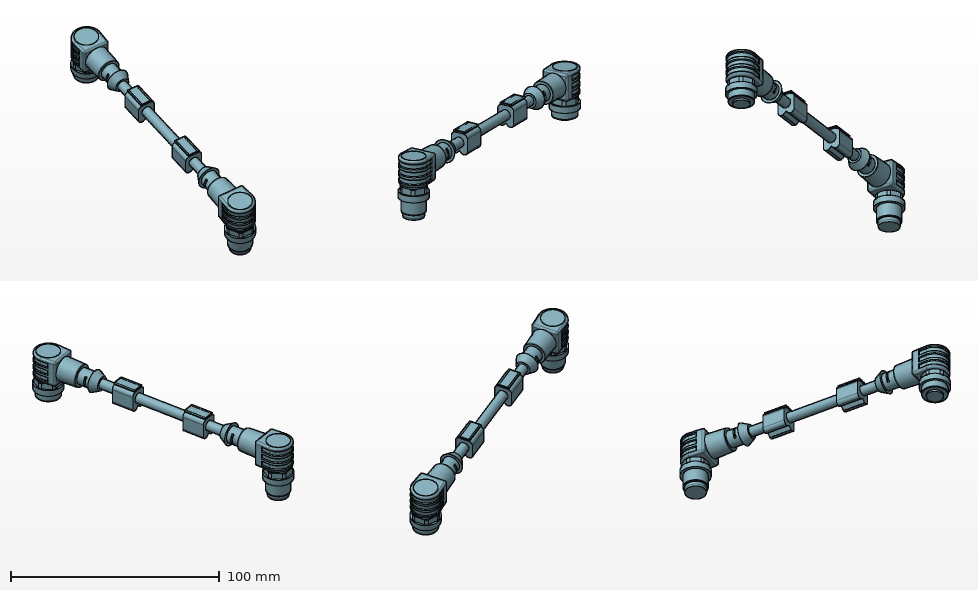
import cadquery as cq
import math


overall_length = 149.2
flange_diameter = 15.0
plug_axis_x = (overall_length - flange_diameter) / 2
cable_diameter = 5.2

body_radius = flange_diameter / 2
nose_centre_x = 0.3
body_back_x = 9.0
body_back_half_width = 7.0
body_top_z = 7.0
body_bottom_z = -7.2
body_edge_radius = 1.0
body_bottom_radius = 1.3
cap_recess_diameter = 11.8
cap_recess_depth = 0.1

groove_count = 3
groove_pitch = 4.0
groove_height = 2.8
groove_depth = 0.5
groove_end_x = 5.0

sleeve_root_diameter = 12.8
sleeve_end_diameter = 12.0
sleeve_end_x = 19.7
sleeve_end_lip_length = 0.5
sleeve_end_lip_drop = 0.1
sleeve_root_inset = 1.5
neck_diameter = 8.8
cone_start_x = 27.2
cone_end_x = 31.3
cone_start_diameter = 11.8
cone_end_diameter = 7.5
neck_slot_x = 24.2
neck_slot_width = 1.0
neck_slot_floor_y = 3.1

collar_diameter = 8.7
nut_top_z = -7.8
nut_across_flats = 12.8
nut_corner_diameter = 13.9
nut_top_chamfer = 0.3
flange_top_z = -11.0
flange_bottom_z = -14.3

plug_lip_length = 0.5
plug_lip_drop = 0.1
socket_diameter = 12.8
socket_bottom_z = -18.4
socket_tip_diameter = 8.4
socket_tip_z = -19.4
pin_plug_diameter = 12.2
pin_plug_bottom_z = -21.6
pin_collar_diameter = 10.9
pin_collar_bottom_z = -23.3
pin_tip_diameter = 10.5
pin_tip_z = -24.3

clip_centre_x = 20.6
clip_length = 12.0
clip_width = 9.1
clip_height = 12.0
clip_bottom_radius = 1.8
lid_flat_half_width = 2.7
lid_bead_radius = 0.52
lid_groove_height = 0.3
shoulder_bottom_z = 2.7
clip_mouth_half_width = 1.8
clip_mouth_depth = 1.5
label_slot_width = 4.5
label_slot_height = 0.7
label_slot_bottom_z = 4.8


def cylinder_z(diameter, top_z, bottom_z):
    """Vertical cylinder on the plug axis."""
    return cq.Workplane("XY").workplane(offset=bottom_z).circle(diameter / 2).extrude(top_z - bottom_z)


def body_outline(z):
    """Plan of the body at height z: a half-round nose and two sides that narrow to a flat back."""
    return (
        cq.Workplane("XY")
        .workplane(offset=z)
        .moveTo(nose_centre_x, body_radius)
        .threePointArc((nose_centre_x - body_radius, 0), (nose_centre_x, -body_radius))
        .lineTo(body_back_x, -body_back_half_width)
        .lineTo(body_back_x, body_back_half_width)
        .close()
    )


def groove_cutter(centre_z):
    """Groove with 45 degree walls that wraps the nose and stops on both flat sides."""
    half_height = groove_height / 2
    floor_height = groove_height - 2 * groove_depth
    lower = body_outline(centre_z - half_height).extrude(groove_depth, taper=45)
    upper = body_outline(centre_z + half_height).extrude(-groove_depth, taper=45)
    floor = lower.faces(">Z").wires().toPending().extrude(floor_height, combine=False)
    reach = 2 * body_radius
    slab = (
        cq.Workplane("XY")
        .workplane(offset=centre_z - half_height)
        .polyline([
            (-reach, -reach),
            (groove_end_x + reach - body_radius, -reach),
            (groove_end_x - body_radius, 0),
            (groove_end_x + reach - body_radius, reach),
            (-reach, reach),
        ])
        .close()
        .extrude(groove_height)
    )
    return slab.cut(lower).cut(upper).cut(floor)


def angled_body():
    body = body_outline(body_bottom_z).extrude(body_top_z - body_bottom_z)
    body = body.edges("|Z and >X").fillet(body_edge_radius)
    body = body.faces(">Z").edges().fillet(body_edge_radius)
    body = body.faces("<Z").edges().fillet(body_bottom_radius)
    for index in range(groove_count):
        centre_z = (index - (groove_count - 1) / 2) * groove_pitch
        body = body.cut(groove_cutter(centre_z))
    return body.cut(cylinder_z(cap_recess_diameter, body_top_z, body_top_z - cap_recess_depth))


def cable_outlet():
    """Sleeve, neck, cone and half of the cable, revolved about the cable line."""
    outlet = (
        cq.Workplane("XZ")
        .polyline([
            (body_back_x - sleeve_root_inset, 0),
            (body_back_x - sleeve_root_inset, sleeve_root_diameter / 2),
            (sleeve_end_x - sleeve_end_lip_length, sleeve_end_diameter / 2),
            (sleeve_end_x, sleeve_end_diameter / 2 - sleeve_end_lip_drop),
            (sleeve_end_x, neck_diameter / 2),
            (cone_start_x, neck_diameter / 2),
            (cone_start_x, cone_start_diameter / 2),
            (cone_end_x, cone_end_diameter / 2),
            (cone_end_x, cable_diameter / 2),
            (plug_axis_x, cable_diameter / 2),
            (plug_axis_x, 0),
        ])
        .close()
        .revolve(360, (0, 0, 0), (1, 0, 0))
    )
    for side in (-1, 1):
        slot_centre_y = side * (neck_slot_floor_y + neck_diameter / 2)
        slot = cq.Workplane("XY").box(neck_slot_width, neck_diameter, neck_diameter)
        outlet = outlet.cut(slot.translate((neck_slot_x, slot_centre_y, 0)))
    return outlet


def coupling_nut():
    """Round collar, hexagon with turned corners and round flange."""
    collar = cylinder_z(collar_diameter, body_bottom_z + body_bottom_radius, nut_top_z)
    hexagon = (
        cq.Workplane("XY")
        .workplane(offset=flange_top_z)
        .polygon(6, nut_across_flats / math.cos(math.pi / 6))
        .extrude(nut_top_z - flange_top_z)
        .rotate((0, 0, 0), (0, 0, 1), 30)
    )
    corners = cylinder_z(nut_corner_diameter, nut_top_z, flange_top_z).faces(">Z").chamfer(nut_top_chamfer)
    flange = cylinder_z(flange_diameter, flange_top_z, flange_bottom_z)
    return collar.union(hexagon.intersect(corners)).union(flange)


def turned_plug(stations):
    """Solid of revolution below the flange, through (diameter, z) stations listed from the top down."""
    top_z = stations[0][1]
    bottom_z = stations[-1][1]
    outline = [(0, top_z)] + [(diameter / 2, z) for diameter, z in stations] + [(0, bottom_z)]
    return cq.Workplane("XZ").polyline(outline).close().revolve(360, (0, 0, 0), (0, 1, 0))


def socket_plug():
    return turned_plug([
        (socket_diameter, flange_bottom_z),
        (socket_diameter, socket_bottom_z + plug_lip_length),
        (socket_diameter - 2 * plug_lip_drop, socket_bottom_z),
        (socket_tip_diameter, socket_bottom_z),
        (socket_tip_diameter, socket_tip_z),
    ])


def pin_plug():
    return turned_plug([
        (pin_plug_diameter, flange_bottom_z),
        (pin_plug_diameter, pin_plug_bottom_z + plug_lip_length),
        (pin_plug_diameter - 2 * plug_lip_drop, pin_plug_bottom_z),
        (pin_collar_diameter, pin_plug_bottom_z),
        (pin_collar_diameter, pin_collar_bottom_z),
        (pin_tip_diameter, pin_tip_z),
    ])


def connector(plug):
    return angled_body().union(cable_outlet()).union(coupling_nut()).union(plug)


def label_clip(centre_x):
    """Clip on the cable with a rounded label lid, rounded shoulders and a V mouth underneath."""
    half_width = clip_width / 2
    half_height = clip_height / 2
    bead_side = (lid_flat_half_width + lid_bead_radius, half_height - lid_bead_radius)
    bead_bottom_z = half_height - 2 * lid_bead_radius
    shoulder_top_z = bead_bottom_z - lid_groove_height
    shoulder_run = half_width - lid_flat_half_width
    shoulder_rise = shoulder_top_z - shoulder_bottom_z
    shoulder_radius = (shoulder_run ** 2 + shoulder_rise ** 2) / (2 * shoulder_run)
    half_section = (
        cq.Workplane("YZ")
        .workplane(offset=centre_x - clip_length / 2)
        .moveTo(0, half_height)
        .lineTo(lid_flat_half_width, half_height)
        .threePointArc(bead_side, (lid_flat_half_width, bead_bottom_z))
        .lineTo(lid_flat_half_width, shoulder_top_z)
        .radiusArc((half_width, shoulder_bottom_z), shoulder_radius)
        .lineTo(half_width, clip_bottom_radius - half_height)
        .radiusArc((half_width - clip_bottom_radius, -half_height), clip_bottom_radius)
        .lineTo(clip_mouth_half_width, -half_height)
        .lineTo(0, clip_mouth_depth - half_height)
        .close()
        .extrude(clip_length)
    )
    label_slot = cq.Workplane("XY").box(clip_length, label_slot_width, label_slot_height)
    label_slot_centre_z = label_slot_bottom_z + label_slot_height / 2
    clip = half_section.union(half_section.mirror("XZ"))
    return clip.cut(label_slot.translate((centre_x, 0, label_slot_centre_z)))


socket_connector = connector(socket_plug()).translate((-plug_axis_x, 0, 0))
pin_connector = connector(pin_plug()).mirror("YZ").translate((plug_axis_x, 0, 0))

result = socket_connector.union(pin_connector)
for clip_x in (-clip_centre_x, clip_centre_x):
    result = result.union(label_clip(clip_x))
result = result.clean()